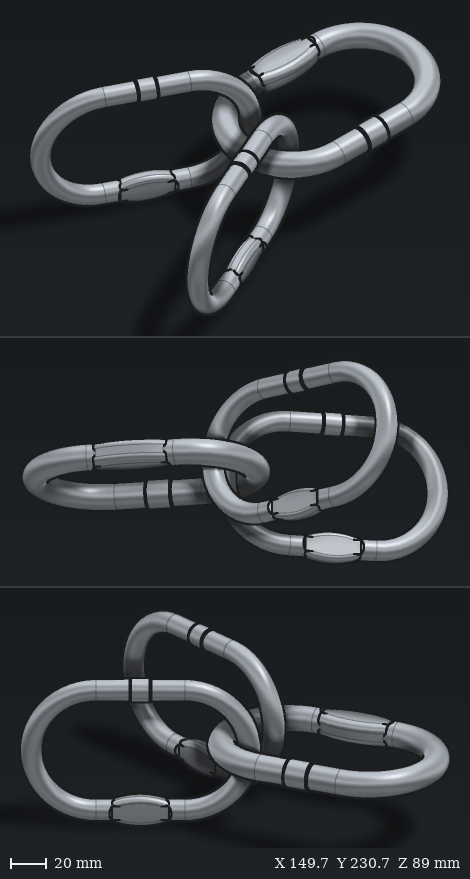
import cadquery as cq

STRAIGHT_LENGTH = 50.0
INNER_RADIUS = 30.0

MASTER_WIRE = 16.0
MASTER_SLEEVE_DIAMETER = 17.2
MASTER_SLEEVE_LENGTH = 15.3
MASTER_TAG_HALF_WIDTH = 11.0
MASTER_TAG_LENGTH = 42.0
MASTER_TAG_THICKNESS = 14.0
MASTER_TAG_ROUNDING = 4.5

SUB_WIRE = 13.0
SUB_SLEEVE_DIAMETER = 13.97
SUB_SLEEVE_LENGTH = 12.4
SUB_TAG_HALF_WIDTH = 8.995
SUB_TAG_LENGTH = 32.0
SUB_TAG_THICKNESS = 10.0
SUB_TAG_ROUNDING = 3.1

SUB_LEAN = 25.0
SUB_CENTRE_X = 42.353
SUB_CENTRE_Y = -97.42
SUB_CENTRE_Z = -0.35

SLEEVE_CHAMFER_LENGTH = 1.0
TAG_EDGE_OVER_WIRE = 0.5
FLAT_RAMP_LENGTH = 1.5


def wire_loop(wire):
    """Round wire along an oblong loop in the XY plane, with the long axis on Y."""
    bend_radius = INNER_RADIUS + wire / 2
    half_straight = STRAIGHT_LENGTH / 2
    path = (
        cq.Workplane("XY")
        .moveTo(-bend_radius, -half_straight)
        .lineTo(-bend_radius, half_straight)
        .threePointArc((0, half_straight + bend_radius), (bend_radius, half_straight))
        .lineTo(bend_radius, -half_straight)
        .threePointArc((0, -half_straight - bend_radius), (-bend_radius, -half_straight))
        .close()
    )
    section = cq.Workplane("XZ", origin=(-bend_radius, -half_straight, 0)).circle(wire / 2)
    return section.sweep(path)


def weld_sleeve(wire, diameter, length):
    """Thickened weld zone along Y, tapering down to the wire at both ends."""
    wire_radius = wire / 2
    sleeve_radius = diameter / 2
    half_length = length / 2
    half_crown = half_length - SLEEVE_CHAMFER_LENGTH
    return (
        cq.Workplane("XY")
        .polyline([
            (0, -half_length),
            (wire_radius, -half_length),
            (sleeve_radius, -half_crown),
            (sleeve_radius, half_crown),
            (wire_radius, half_length),
            (0, half_length),
        ])
        .close()
        .revolve(360, (0, 0, 0), (0, 1, 0))
    )


def tag_plate(wire, half_width, length, thickness, rounding):
    """Lens-shaped plate along Y whose curved long edges are rounded."""
    half_length = length / 2
    end_half_width = wire / 2 - TAG_EDGE_OVER_WIRE
    return (
        cq.Workplane("XY")
        .moveTo(-end_half_width, -half_length)
        .threePointArc((-half_width, 0), (-end_half_width, half_length))
        .lineTo(end_half_width, half_length)
        .threePointArc((half_width, 0), (end_half_width, -half_length))
        .close()
        .extrude(thickness / 2, both=True)
        .edges("%CIRCLE")
        .fillet(rounding)
    )


def tag_flat_cutter(wire, length, thickness):
    """Material above the upper tag flat, with sloped ends that run out at the top of the wire."""
    half_length = length / 2
    wire_radius = wire / 2
    flat_height = thickness / 2
    return (
        cq.Workplane("YZ")
        .polyline([
            (-half_length, flat_height),
            (half_length, flat_height),
            (half_length + FLAT_RAMP_LENGTH, wire_radius),
            (-half_length - FLAT_RAMP_LENGTH, wire_radius),
        ])
        .close()
        .extrude(wire_radius, both=True)
    )


def make_link(wire, sleeve_diameter, sleeve_length, half_width, tag_length, thickness, rounding):
    """Complete link in the XY plane: tag on the -X side, weld sleeve on the +X side."""
    side_x = INNER_RADIUS + wire / 2
    link = wire_loop(wire)

    upper_cutter = tag_flat_cutter(wire, tag_length, thickness)
    for cutter in (upper_cutter, upper_cutter.mirror("XY")):
        link = link.cut(cutter.translate((-side_x, 0, 0)))

    tag = tag_plate(wire, half_width, tag_length, thickness, rounding)
    link = link.union(tag.translate((-side_x, 0, 0)))

    sleeve = weld_sleeve(wire, sleeve_diameter, sleeve_length)
    return link.union(sleeve.translate((side_x, 0, 0)))


def make_master_link():
    return make_link(
        MASTER_WIRE,
        MASTER_SLEEVE_DIAMETER,
        MASTER_SLEEVE_LENGTH,
        MASTER_TAG_HALF_WIDTH,
        MASTER_TAG_LENGTH,
        MASTER_TAG_THICKNESS,
        MASTER_TAG_ROUNDING,
    )


def make_sub_link(side):
    """Sub-link stood upright with its tag at the bottom; side is -1 for -X and +1 for +X."""
    link = make_link(
        SUB_WIRE,
        SUB_SLEEVE_DIAMETER,
        SUB_SLEEVE_LENGTH,
        SUB_TAG_HALF_WIDTH,
        SUB_TAG_LENGTH,
        SUB_TAG_THICKNESS,
        SUB_TAG_ROUNDING,
    )
    upright = link.rotate((0, 0, 0), (0, 1, 0), -90)
    leaning = upright.rotate((0, 0, 0), (0, 0, 1), side * SUB_LEAN)
    return leaning.translate((side * SUB_CENTRE_X, SUB_CENTRE_Y, SUB_CENTRE_Z))


master_link = make_master_link()
sub_links = [make_sub_link(side) for side in (-1, 1)]

result = cq.Compound.makeCompound([
    master_link.solids().val(),
    *[sub_link.solids().val() for sub_link in sub_links],
])